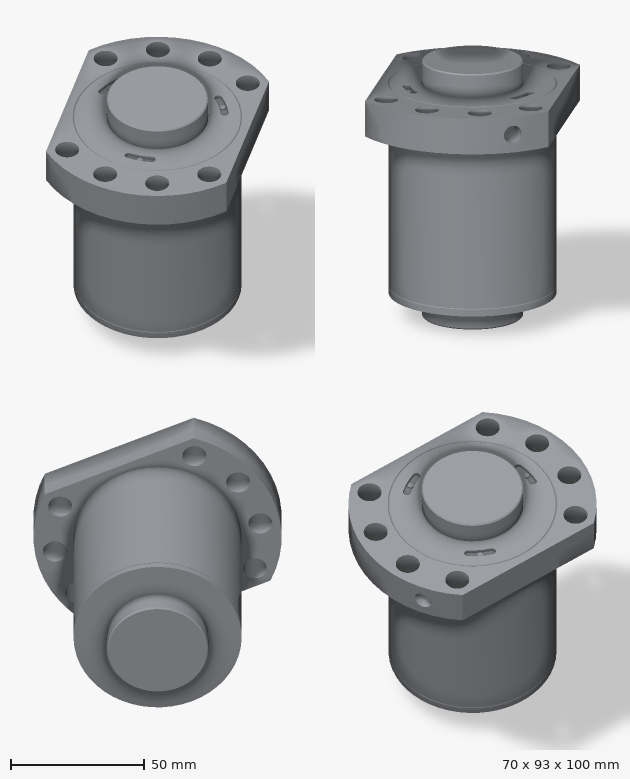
import cadquery as cq
import math

shaft_diameter = 38
shaft_length = 100
shaft_chamfer = 0.5

body_diameter = 63
body_length = 82
bore_diameter = 38.2
bore_gap_depth = 1
end_cap_thickness = 3
end_cap_chamfer = 0.3
seal_groove_half_width = 0.3

flange_diameter = 93
flange_width = 70
flange_thickness = 14
bolt_hole_diameter = 9
bolt_circle_diameter = 78
bolt_hole_angles = (45, 75, 105, 135, 225, 255, 285, 315)

lube_hole_diameter = 6.92
lube_hole_depth = 10
lube_hole_angle = 120

slot_angles = (30, 150, 270)
slot_radius = 25.2
slot_width = 3
slot_length = 12
slot_depth = 1.4
pin_radius = 25.25
pin_diameter = 2.4
pin_side_height = 0.6
pin_chamfer = 0.2
pin_crown_height = 0.05
pin_tip_diameter = 0.5

body_bottom = (shaft_length - body_length) / 2
body_top = body_bottom + body_length
cap_joint = body_bottom + end_cap_thickness
flange_bottom = body_top - flange_thickness
slot_floor = body_top - slot_depth


def polar(radius, angle):
    """Point at a radius and an angle in degrees about the part axis."""
    return radius * math.cos(math.radians(angle)), radius * math.sin(math.radians(angle))


def disc(diameter, bottom, top):
    """Cylinder on the part axis between two heights."""
    return cq.Workplane("XY").workplane(offset=bottom).circle(diameter / 2).extrude(top - bottom)


def revolved(section):
    """Solid of revolution about the part axis from (radius, height) points."""
    return cq.Workplane("XZ").polyline(section).close().revolve(360, (0, 0, 0), (0, 1, 0))


def make_shaft():
    return disc(shaft_diameter, 0, shaft_length).faces("<Z or >Z").chamfer(shaft_chamfer)


def make_flange():
    """Round flange cut to two flats facing -X and +X, with through bolt holes."""
    flats = cq.Workplane("XY").box(flange_width, flange_diameter, 2 * shaft_length)
    bolt_holes = (
        cq.Workplane("XY")
        .workplane(offset=flange_bottom)
        .pushPoints([polar(bolt_circle_diameter / 2, angle) for angle in bolt_hole_angles])
        .circle(bolt_hole_diameter / 2)
        .extrude(flange_thickness)
    )
    return disc(flange_diameter, flange_bottom, body_top).intersect(flats).cut(bolt_holes)


def make_lube_hole():
    """Radial blind hole at half the flange thickness."""
    x, y = polar(flange_diameter / 2, lube_hole_angle)
    mouth = cq.Vector(x, y, flange_bottom + flange_thickness / 2)
    inward = cq.Vector(-x, -y, 0)
    return cq.Workplane(
        cq.Solid.makeCylinder(lube_hole_diameter / 2, lube_hole_depth, mouth, inward)
    )


def make_seal_groove():
    """V groove in the top face, round the joint between the flange and the seal."""
    radius = body_diameter / 2
    return revolved([
        (radius - seal_groove_half_width, body_top),
        (radius, body_top - seal_groove_half_width),
        (radius + seal_groove_half_width, body_top),
    ])


def make_cap_groove():
    """Groove left by the chamfered upper edge of the bottom end cap."""
    radius = body_diameter / 2
    return revolved([
        (radius, cap_joint - end_cap_chamfer),
        (radius - end_cap_chamfer, cap_joint),
        (radius, cap_joint),
    ])


def make_bore_gap(bottom):
    """Thin clearance ring between the shaft and the bore, upward from a height."""
    top = bottom + bore_gap_depth
    return disc(bore_diameter, bottom, top).cut(disc(shaft_diameter, bottom, top))


def make_slot(angle):
    """Round-ended slot along an arc about the part axis."""
    inner = slot_radius - slot_width / 2
    outer = slot_radius + slot_width / 2
    end_angle = math.degrees(slot_width / 2 / slot_radius)
    half_angle = math.degrees(slot_length / 2 / slot_radius) - end_angle
    first = angle - half_angle
    last = angle + half_angle
    return (
        cq.Workplane("XY")
        .workplane(offset=slot_floor)
        .moveTo(*polar(inner, first))
        .threePointArc(polar(inner, angle), polar(inner, last))
        .threePointArc(polar(slot_radius, last + end_angle), polar(outer, last))
        .threePointArc(polar(outer, angle), polar(outer, first))
        .threePointArc(polar(slot_radius, first - end_angle), polar(inner, first))
        .close()
        .extrude(slot_depth)
    )


def make_pin(angle):
    """Chamfered pin with a very flat conical crown, standing on the slot floor."""
    side_radius = pin_diameter / 2
    crown_radius = side_radius - pin_chamfer
    shoulder = slot_floor + pin_side_height
    crown = shoulder + pin_chamfer
    tip = crown + pin_crown_height
    pin = revolved([
        (0, slot_floor),
        (side_radius, slot_floor),
        (side_radius, shoulder),
        (crown_radius, crown),
        (pin_tip_diameter / 2, tip),
        (0, tip),
    ])
    return pin.translate((*polar(pin_radius, angle), 0))


result = disc(body_diameter, body_bottom, body_top).union(make_flange())
result = result.cut(make_seal_groove()).cut(make_cap_groove()).cut(make_lube_hole())
result = result.union(make_shaft())
for gap_bottom in (body_bottom, body_top - bore_gap_depth):
    result = result.cut(make_bore_gap(gap_bottom))
for slot_angle in slot_angles:
    result = result.cut(make_slot(slot_angle)).union(make_pin(slot_angle))